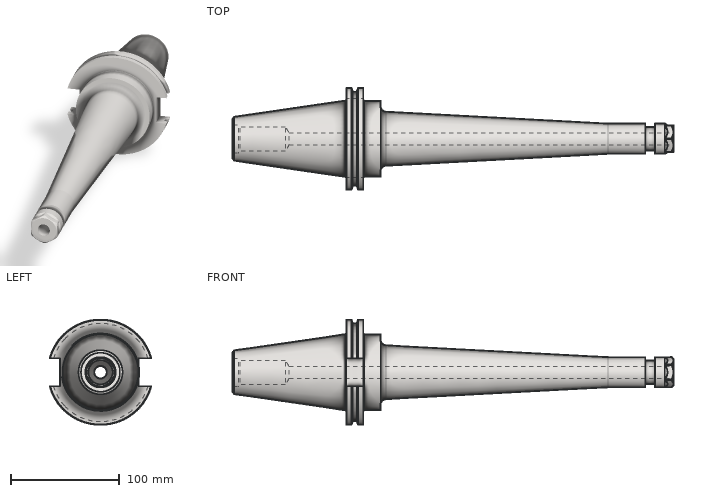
import cadquery as cq
import math


overall_length = 406.5
gauge_diameter = 70.0
taper_length = 102.5
taper_ratio = 7 / 24
end_chamfer_length = 2.0
end_chamfer_depth = 2.0

flange_diameter = 97.0
flange_start = 105.0
flange_end = 120.7
flange_edge_chamfer = 0.5
root_fillet = 1.0
groove_width = 6.0
groove_depth = 3.3
groove_floor_width = 3.5

slot_width = 25.5
slot_floor_front = 35.5
slot_floor_back = 37.5

collar_diameter = 70.0
collar_end = 136.5
shank_fillet = 5.0
shank_root_diameter = 50.0
nose_diameter = 28.0
nose_start = 346.0
nose_end = 380.5
neck_diameter = 22.0
neck_fillet = 0.5

mouth_diameter = 28.0
socket_diameter = 26.0
socket_depth = 5.3
bore_diameter = 22.5
bore_depth = 48.8
coolant_diameter = 11.5
countersink_angle = 45.0
drill_tip_angle = 60.0

nut_start = 389.0
nut_diameter = nose_diameter
nut_band_end = 398.3
shoulder_length = 2.5
hex_across_flats = 24.8
nut_chamfer = 2.0
nut_rear_chamfer = 0.5


def turned(outline):
    """Turn a closed outline of (X, radius) points about the X axis."""
    return outline.close().revolve(360, (0, 0, 0), (1, 0, 0))


def root_after(outline, face, radius, fillet):
    """Come down a face at X and round the inside corner onto the cylinder beyond it."""
    start = (face, radius + fillet)
    middle_gap = fillet * (1 - math.sqrt(0.5))
    middle = (face + middle_gap, radius + middle_gap)
    return outline.lineTo(*start).threePointArc(middle, (face + fillet, radius))


def root_before(outline, face, radius, fillet):
    """Run along a cylinder and round the inside corner onto the face at X."""
    start = (face - fillet, radius)
    middle_gap = fillet * (1 - math.sqrt(0.5))
    middle = (face - middle_gap, radius + middle_gap)
    return outline.lineTo(*start).threePointArc(middle, (face, radius + fillet))


def shank_blank():
    gauge_radius = gauge_diameter / 2
    end_radius = gauge_radius - taper_length * taper_ratio / 2
    chamfer_radius = end_radius + end_chamfer_length * taper_ratio / 2
    collar_radius = collar_diameter / 2
    flange_radius = flange_diameter / 2
    root_radius = shank_root_diameter / 2
    nose_radius = nose_diameter / 2
    neck_radius = neck_diameter / 2
    outline = (
        cq.Workplane("XY")
        .moveTo(0, 0)
        .lineTo(0, end_radius - end_chamfer_depth)
        .lineTo(end_chamfer_length, chamfer_radius)
        .lineTo(taper_length, gauge_radius)
    )
    outline = root_before(outline, flange_start, gauge_radius, root_fillet)
    outline = (
        outline
        .lineTo(flange_start, flange_radius - flange_edge_chamfer)
        .lineTo(flange_start + flange_edge_chamfer, flange_radius)
        .lineTo(flange_end, flange_radius)
    )
    outline = root_after(outline, flange_end, collar_radius, root_fillet)
    outline = outline.lineTo(collar_end, collar_radius)
    outline = root_after(outline, collar_end, root_radius, shank_fillet)
    outline = outline.lineTo(nose_start, nose_radius).lineTo(nose_end, nose_radius)
    outline = root_after(outline, nose_end, neck_radius, neck_fillet)
    outline = outline.lineTo(nut_start, neck_radius).lineTo(nut_start, 0)
    return turned(outline)


def gripper_groove():
    """V groove with a flat floor, halfway along the flange rim."""
    middle = (flange_start + flange_end) / 2
    rim = flange_diameter / 2
    floor = rim - groove_depth
    half_rim = groove_width / 2
    half_floor = groove_floor_width / 2
    clear = rim + groove_depth
    outline = (
        cq.Workplane("XY")
        .moveTo(middle - half_floor, floor)
        .lineTo(middle + half_floor, floor)
        .lineTo(middle + half_rim, rim)
        .lineTo(middle + half_rim, clear)
        .lineTo(middle - half_rim, clear)
        .lineTo(middle - half_rim, rim)
    )
    return turned(outline)


def drive_slot(floor, side):
    """Slot through the flange, open outward on the given side of Y."""
    depth = flange_diameter / 2
    return cq.Workplane("XY").box(
        flange_end - flange_start, depth, slot_width, centered=(False, True, True)
    ).translate((flange_start, side * (floor + depth / 2), 0))


def stepped_bore():
    mouth = mouth_diameter / 2
    socket = socket_diameter / 2
    bore = bore_diameter / 2
    coolant = coolant_diameter / 2
    slope = math.tan(math.radians(countersink_angle))
    mouth_end = (mouth - socket) / slope
    socket_end = socket_depth + (socket - bore) / slope
    tip_end = bore_depth + (bore - coolant) / math.tan(math.radians(drill_tip_angle))
    outline = (
        cq.Workplane("XY")
        .moveTo(0, 0)
        .lineTo(0, mouth)
        .lineTo(mouth_end, socket)
        .lineTo(socket_depth, socket)
        .lineTo(socket_end, bore)
        .lineTo(bore_depth, bore)
        .lineTo(tip_end, coolant)
        .lineTo(overall_length, coolant)
        .lineTo(overall_length, 0)
    )
    return turned(outline)


def make_holder():
    return (
        shank_blank()
        .cut(gripper_groove())
        .cut(drive_slot(slot_floor_front, -1))
        .cut(drive_slot(slot_floor_back, 1))
        .cut(stepped_bore())
    )


def make_nut():
    """Round band running by a conical shoulder into a hexagon with flats facing Y."""
    radius = nut_diameter / 2
    shoulder_radius = hex_across_flats / 2
    shoulder_end = nut_band_end + shoulder_length
    band = turned(
        cq.Workplane("XY")
        .moveTo(nut_start, 0)
        .lineTo(nut_start, radius - nut_rear_chamfer)
        .lineTo(nut_start + nut_rear_chamfer, radius)
        .lineTo(nut_band_end, radius)
        .lineTo(shoulder_end, shoulder_radius)
        .lineTo(shoulder_end, 0)
    )
    hexagon = (
        cq.Workplane("YZ", origin=(nut_band_end, 0, 0))
        .polygon(6, hex_across_flats, circumscribed=True)
        .extrude(overall_length - nut_band_end)
    )
    envelope = (
        cq.Workplane("YZ", origin=(nut_start, 0, 0))
        .circle(radius)
        .extrude(overall_length - nut_start)
        .faces(">X")
        .chamfer(nut_chamfer)
    )
    return band.union(hexagon.intersect(envelope)).cut(stepped_bore())


holder = make_holder()
nut = make_nut()

result = cq.Compound.makeCompound([holder.val(), nut.val()])